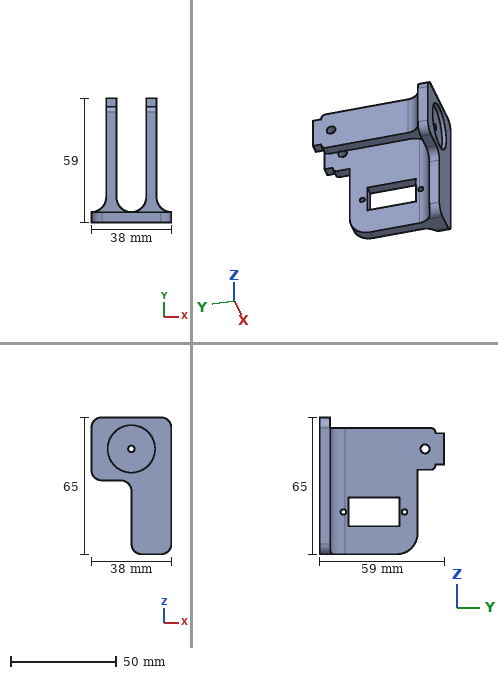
import cadquery as cq

plate_width = 38.0
plate_height = 65.0
plate_thickness = 5.0
leg_width = plate_width / 2
leg_left = plate_width - leg_width
head_height = 30.0
step_z = plate_height - head_height
corner_radius = 5.0

recess_diameter = 22.5
recess_depth = 2.0
pilot_diameter = 3.0
recess_x = plate_width / 2
recess_z = plate_height - head_height / 2

total_depth = 59.0
arm_thickness = 5.0
root_radius = 7.0
arm_lefts = (root_radius, plate_width - root_radius - arm_thickness)
arm_height = 20.0
arm_top = plate_height - corner_radius
arm_bottom = arm_top - arm_height
arm_mid_z = (arm_top + arm_bottom) / 2

tab_length = 4.0
tab_height = 15.0
shoulder_y = total_depth - tab_length
shoulder_radius = (arm_height - tab_height) / 2
pivot_y = 50.0
pivot_diameter = 4.2

panel_end_y = 46.5
panel_corner_radius = 10.0
window_length = 24.0
window_height = 13.5
window_y = (plate_thickness + panel_end_y) / 2
window_z = 20.1
screw_pitch = 29.0
screw_diameter = 2.5


def box(x_range, y_range, z_range):
    """Axis-aligned box between the given (low, high) limits."""
    lows, highs = zip(x_range, y_range, z_range)
    size = [high - low for low, high in zip(lows, highs)]
    return cq.Workplane("XY").box(*size, centered=False).translate(lows)


def hole_along_x(y, z, diameter):
    """Round cutter running across the full width of the part."""
    return cq.Workplane("YZ").center(y, z).circle(diameter / 2).extrude(plate_width)


def plate_prism(depth):
    """The rounded L outline extruded from the front face to the given depth."""
    outline = [
        (leg_left, 0),
        (plate_width, 0),
        (plate_width, plate_height),
        (0, plate_height),
        (0, step_z),
        (leg_left, step_z),
    ]
    prism = cq.Workplane("XZ").polyline(outline).close().extrude(-depth)
    return prism.edges("|Y").fillet(corner_radius)


def make_arm(left):
    """One arm with rounded shoulders and a narrower end tab."""
    x_range = (left, left + arm_thickness)
    body = box(x_range, (plate_thickness, shoulder_y), (arm_bottom, arm_top))
    body = body.edges("|X and >Y").fillet(shoulder_radius)
    tab_z_range = (arm_mid_z - tab_height / 2, arm_mid_z + tab_height / 2)
    tab = box(x_range, (shoulder_y - shoulder_radius, total_depth), tab_z_range)
    return body.union(tab)


def make_panel(left):
    """Servo panel with one large rounded lower corner."""
    x_range = (left, left + arm_thickness)
    panel = box(x_range, (plate_thickness, panel_end_y), (0, arm_bottom))
    return panel.edges("|X and >Y and <Z").fillet(panel_corner_radius)


def make_root(left, z_range):
    """Flared root: an arm-wide core widening by a quarter round on each side."""
    right = left + arm_thickness
    flare_y = plate_thickness + root_radius
    root_y_range = (plate_thickness, flare_y)
    root = box((left - root_radius, right + root_radius), root_y_range, z_range)
    for x in (left - root_radius, right + root_radius):
        round_cutter = cq.Workplane("XY").center(x, flare_y).circle(root_radius).extrude(plate_height)
        root = root.cut(round_cutter)
    return root


def cut_recess(body):
    """Shallow round recess in the front face with a through pilot hole."""
    face = cq.Workplane("XZ").center(recess_x, recess_z)
    recess = face.circle(recess_diameter / 2).extrude(-recess_depth)
    pilot = face.circle(pilot_diameter / 2).extrude(-total_depth)
    return body.cut(recess).cut(pilot)


def cut_servo_mount(body):
    """Rectangular window with a screw hole at each end."""
    y_range = (window_y - window_length / 2, window_y + window_length / 2)
    z_range = (window_z - window_height / 2, window_z + window_height / 2)
    body = body.cut(box((0, plate_width), y_range, z_range))
    for side in (-1, 1):
        screw_y = window_y + side * screw_pitch / 2
        body = body.cut(hole_along_x(screw_y, window_z, screw_diameter))
    return body


left_arm, right_arm = arm_lefts
roots = make_root(left_arm, (arm_bottom, arm_top)).union(make_root(right_arm, (0, arm_top)))
roots = roots.intersect(plate_prism(total_depth))

result = plate_prism(plate_thickness).union(roots)
for arm_left in arm_lefts:
    result = result.union(make_arm(arm_left))
result = result.union(make_panel(right_arm))
result = cut_recess(result)
result = cut_servo_mount(result)
result = result.cut(hole_along_x(pivot_y, arm_mid_z, pivot_diameter))